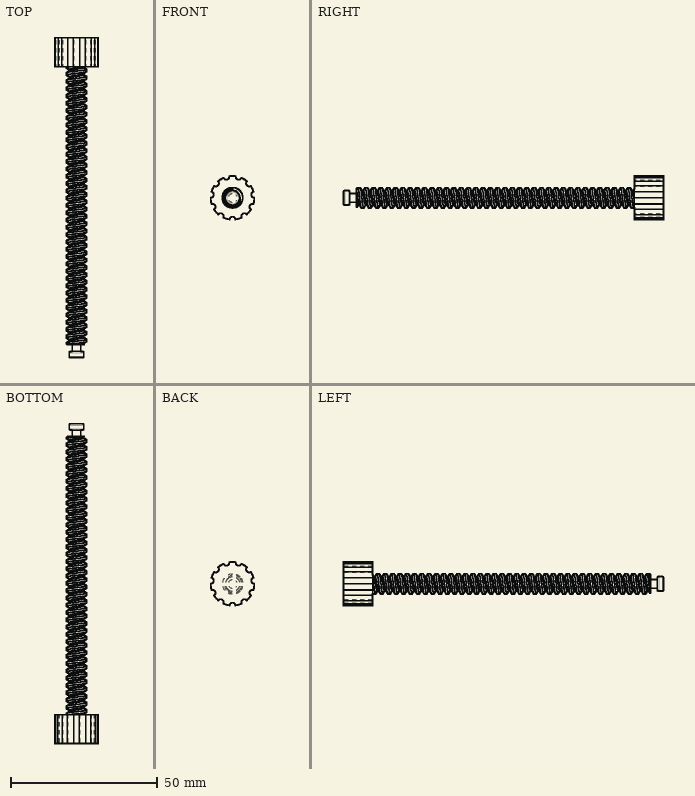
import cadquery as cq
import math


total_length = 109.5
knob_diameter = 15.0
knob_length = 10.0
notch_count = 11
notch_radius = 1.0

thread_diameter = 7.0
core_diameter = 4.9
thread_pitch = 2.5
crest_width = 0.8
root_width = 0.4
thread_chamfer = 0.4
groove_offset = 0.3
groove_overshoot = 0.2
turns_per_segment = 4

neck_diameter = 3.1
neck_length = 2.2
button_diameter = 5.0
button_length = 2.2
button_fillet = 0.49

thread_end = total_length - neck_length - button_length
thread_length = thread_end - knob_length


def rod(diameter, start, length):
    return cq.Workplane("XY").workplane(offset=start).circle(diameter / 2).extrude(length)


def make_knob():
    """Cylinder with round notches evenly spaced on its rim, one of them at the bottom."""
    notches = (
        cq.Workplane("XY")
        .polarArray(knob_diameter / 2, -90, 360, notch_count)
        .circle(notch_radius)
        .extrude(knob_length)
    )
    return rod(knob_diameter, 0, knob_length).cut(notches)


def make_thread():
    """Rod with a chamfered end, rooted in the knob and cut by a helical groove that ends inside the knob."""
    outer_radius = thread_diameter / 2
    root_radius = core_diameter / 2
    flank_width = (thread_pitch - crest_width - root_width) / 2
    mouth_width = root_width + 2 * flank_width * (1 + groove_overshoot / (outer_radius - root_radius))
    mouth_radius = outer_radius + groove_overshoot
    section = [
        (root_radius, -root_width / 2),
        (mouth_radius, -mouth_width / 2),
        (mouth_radius, mouth_width / 2),
        (root_radius, root_width / 2),
    ]
    segment_length = turns_per_segment * thread_pitch
    segment_count = math.ceil(thread_length / segment_length)
    helix = cq.Wire.makeHelix(thread_pitch, segment_length, root_radius)
    segment = (
        cq.Workplane("XZ")
        .polyline(section)
        .close()
        .sweep(cq.Workplane(helix), isFrenet=True)
        .rotate((0, 0, 0), (1, 0, 0), 180)
        .rotate((0, 0, 0), (0, 0, 1), 90)
        .translate((0, 0, thread_end + groove_offset))
        .val()
    )
    segments = [segment.translate(cq.Vector(0, 0, -index * segment_length)) for index in range(segment_count)]
    shaft = rod(thread_diameter, 0, thread_end).faces(">Z").chamfer(thread_chamfer)
    groove = segments[0].fuse(*segments[1:])
    return shaft.cut(cq.Workplane(groove))


def make_tip():
    """Thin neck carrying a button with rounded rims."""
    neck = rod(neck_diameter, thread_end, neck_length)
    button = rod(button_diameter, thread_end + neck_length, button_length).edges().fillet(button_fillet)
    return neck.union(button)


result = (
    make_thread()
    .union(make_knob())
    .union(make_tip())
    .rotate((0, 0, 0), (1, 0, 0), 90)
)